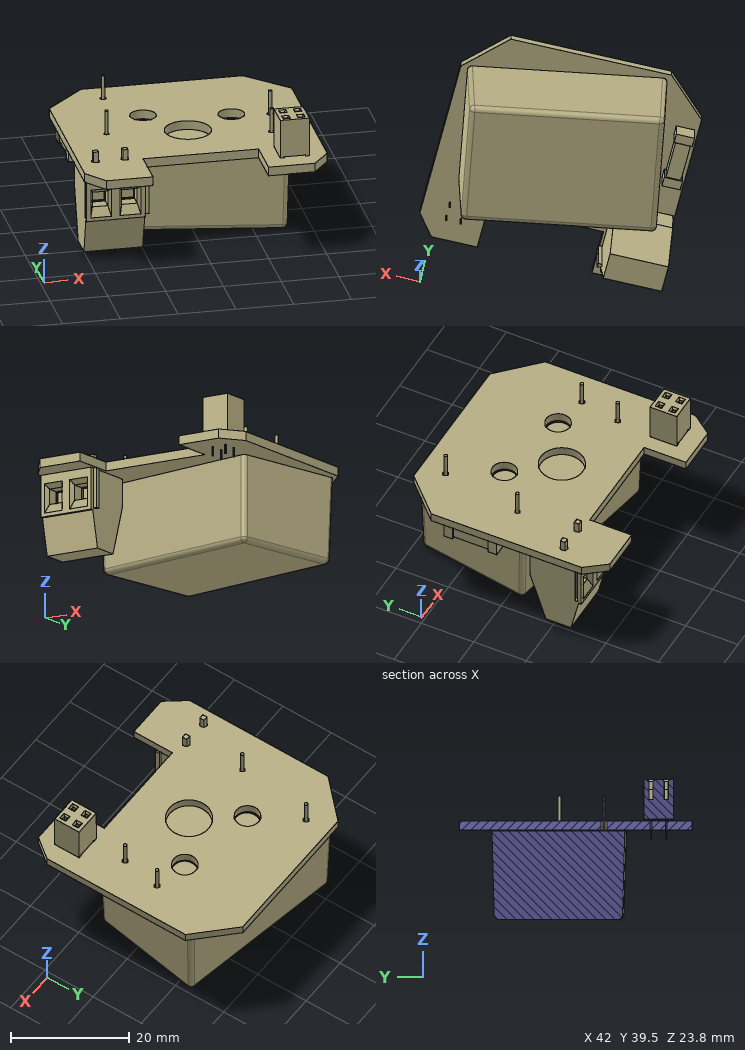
import cadquery as cq
import math


BOARD_WIDTH = 42
BOARD_THICKNESS = 1.6
BOARD_FRONT_Y = -18.5
BOARD_BACK_Y = 21
BACK_CHAMFER = 6.97
FRONT_CHAMFER_X = 2.95
FRONT_CHAMFER_Y = 3.85
NOTCH_WIDTH = 20.0
NOTCH_DEPTH = 8
LARGE_OPENING_DIAMETER = 8
SMALL_OPENING_DIAMETER = 4.5
SMALL_OPENING_CENTRES = [(-6.1, 7.8), (8.65, 5.2)]

MOUNTING_GAP = 0.1

MODULE_X = 1.3
MODULE_Y = 6.43
MODULE_TURN = -10
MODULE_LENGTH = 33.85
MODULE_WIDTH = 22.2
MODULE_BOTTOM = -15.15
MODULE_TOP = -MOUNTING_GAP
MODULE_DRAFT = 1.5
MODULE_CORNER_RADIUS = 0.8
MODULE_BOTTOM_RADIUS = 0.92
RECESS_DIAMETER = SMALL_OPENING_DIAMETER
RECESS_DEPTH = 0.25
RECESS_SPACING = 14.85
MODULE_PIN_DIAMETER = 0.6
MODULE_PIN_TOP = 5.85
MODULE_PIN_X = 14.0
MODULE_PIN_Y = 7.65
MODULE_PIN_HOLE_DIAMETER = 1.0
SMALL_PIN_HOLE_DIAMETER = 0.9

TERMINAL_X = -15.55
TERMINAL_WIDTH = 10.2
TERMINAL_TOP = -MOUNTING_GAP
TERMINAL_BOTTOM = -13.8
TERMINAL_BACK_Y = -4.6
TERMINAL_FACE_Y = -14.35
TERMINAL_LEDGE_Z = -7.45
TERMINAL_LEDGE_DEPTH = 0.5
TERMINAL_BACK_BEND_Z = -4.8
TERMINAL_FOOT_BACK_Y = -7.6
TERMINAL_FOOT_FRONT_Y = -12.4
WIRE_PITCH = 5.1
WIRE_MOUTH_WIDTH = 3.55
WIRE_MOUTH_TOP = -1.7
WIRE_MOUTH_BOTTOM = -6.8
WIRE_HOLE_WIDTH = 2.7
WIRE_HOLE_Z = -3.82
WIRE_FUNNEL_DEPTH = 0.9
WIRE_HOLE_DEPTH = 2.95
WIRE_STOP_WIDTH = 2.45
WIRE_STOP_DEPTH = 3.35
RIB_Y = -13.4
RIB_NECK = 0.4
RIB_HEAD = 0.85
RIB_PROJECTION = 0.7
RIB_BOTTOM = -7.1
TERMINAL_PIN_Y = -9.75
TERMINAL_PIN_SIDE = 0.9
TERMINAL_PIN_TOP = 3.4
TERMINAL_PIN_HOLE_DIAMETER = 1.3

HEADER_X = 15.25
HEADER_Y = -12.75
HEADER_SIDE = 5.1
HEADER_BOTTOM = BOARD_THICKNESS + MOUNTING_GAP
HEADER_TOP = 8.6
HEADER_CHANNEL_WIDTH = 3.65
HEADER_CHANNEL_HEIGHT = 0.15
SOCKET_PITCH = 2.55
SOCKET_MOUTH = 1.2
SOCKET_HOLE = 0.65
SOCKET_FUNNEL_DEPTH = 0.35
SOCKET_HOLE_DEPTH = 1.7
CONTACT_SLIT_WIDTH = 0.2
CONTACT_SLIT_DEPTH = 3.35
HEADER_PIN_SIDE = 0.2
HEADER_PIN_BOTTOM = -1.5

FUSE_LEFT_X = -20.3
FUSE_TOP = -MOUNTING_GAP
FUSE_BACK_Y = 11.95
FUSE_LENGTH = 10.05
FUSE_CAP_SIDE = 3.2
FUSE_CAP_LENGTH = 1.65
FUSE_BAR_SIDE = 2.6


def box(x_range, y_range, z_range):
    """Axis-aligned box between the given limits."""
    sizes = [high - low for low, high in (x_range, y_range, z_range)]
    corner = (x_range[0], y_range[0], z_range[0])
    return cq.Workplane("XY").box(*sizes, centered=False).translate(corner)


def square_bar(centre, side, bottom, top):
    """Upright square bar."""
    bar = cq.Workplane("XY", origin=(*centre, bottom)).rect(side, side)
    return bar.extrude(top - bottom)


def round_bar(centre, diameter, bottom, top):
    """Upright cylinder."""
    return cq.Workplane("XY", origin=(*centre, bottom)).circle(diameter / 2).extrude(top - bottom)


def module_to_board(x, y):
    """Point given along the module's own axes, turned and moved to its place on the board."""
    turn = math.radians(MODULE_TURN)
    board_x = MODULE_X + x * math.cos(turn) - y * math.sin(turn)
    board_y = MODULE_Y + x * math.sin(turn) + y * math.cos(turn)
    return board_x, board_y


narrow_pin = module_to_board(-MODULE_PIN_X, -MODULE_PIN_Y)
wide_pins = [
    module_to_board(-MODULE_PIN_X, MODULE_PIN_Y),
    module_to_board(MODULE_PIN_X, 0),
    module_to_board(MODULE_PIN_X, -MODULE_PIN_Y),
]
terminal_xs = [TERMINAL_X + side * WIRE_PITCH / 2 for side in (-1, 1)]
socket_centres = [
    (HEADER_X + i * SOCKET_PITCH / 2, HEADER_Y + j * SOCKET_PITCH / 2)
    for i in (-1, 1)
    for j in (-1, 1)
]


def make_board():
    half = BOARD_WIDTH / 2
    notch = NOTCH_WIDTH / 2
    notch_y = BOARD_FRONT_Y + NOTCH_DEPTH
    right_side = [
        (notch, notch_y),
        (notch, BOARD_FRONT_Y),
        (half - FRONT_CHAMFER_X, BOARD_FRONT_Y),
        (half, BOARD_FRONT_Y + FRONT_CHAMFER_Y),
        (half, BOARD_BACK_Y - BACK_CHAMFER),
        (half - BACK_CHAMFER, BOARD_BACK_Y),
    ]
    left_side = [(-x, y) for x, y in reversed(right_side)]
    board = cq.Workplane("XY").polyline(right_side + left_side).close().extrude(BOARD_THICKNESS)

    holes = [((0, 0), LARGE_OPENING_DIAMETER), (narrow_pin, SMALL_PIN_HOLE_DIAMETER)]
    holes += [(centre, SMALL_OPENING_DIAMETER) for centre in SMALL_OPENING_CENTRES]
    holes += [(centre, MODULE_PIN_HOLE_DIAMETER) for centre in wide_pins]
    holes += [((x, TERMINAL_PIN_Y), TERMINAL_PIN_HOLE_DIAMETER) for x in terminal_xs]
    for centre, diameter in holes:
        board = board.cut(round_bar(centre, diameter, 0, BOARD_THICKNESS))
    for centre in socket_centres:
        board = board.cut(square_bar(centre, HEADER_PIN_SIDE, 0, BOARD_THICKNESS))
    return board


def make_module():
    module = cq.Workplane("XY", origin=(0, 0, MODULE_TOP)).rect(MODULE_LENGTH, MODULE_WIDTH)
    module = module.extrude(MODULE_BOTTOM - MODULE_TOP, taper=MODULE_DRAFT)
    module = module.edges("not(#Z)").fillet(MODULE_CORNER_RADIUS)
    module = module.faces("<Z").edges().fillet(MODULE_BOTTOM_RADIUS)
    for side in (-1, 1):
        centre = (side * RECESS_SPACING / 2, 0)
        module = module.cut(round_bar(centre, RECESS_DIAMETER, MODULE_TOP - RECESS_DEPTH, MODULE_TOP))
    module = module.rotate((0, 0, 0), (0, 0, 1), MODULE_TURN)
    return module.translate((MODULE_X, MODULE_Y, 0))


def make_module_pin(centre):
    return round_bar(centre, MODULE_PIN_DIAMETER, MODULE_TOP, MODULE_PIN_TOP)


def wire_entry(x):
    """Square wire hole in the front of the terminal block, flared at its mouth and stepped near its end."""
    mouth_height = WIRE_MOUTH_TOP - WIRE_MOUTH_BOTTOM
    mouth_middle = (WIRE_MOUTH_TOP + WIRE_MOUTH_BOTTOM) / 2
    funnel = (
        cq.Workplane("XZ", origin=(x, TERMINAL_FACE_Y, mouth_middle))
        .rect(WIRE_MOUTH_WIDTH, mouth_height)
        .workplane(offset=-WIRE_FUNNEL_DEPTH)
        .center(0, WIRE_HOLE_Z - mouth_middle)
        .rect(WIRE_HOLE_WIDTH, WIRE_HOLE_WIDTH)
        .loft(ruled=True)
    )
    hole_plane = cq.Workplane("XZ", origin=(x, TERMINAL_FACE_Y + WIRE_FUNNEL_DEPTH, WIRE_HOLE_Z))
    hole = hole_plane.rect(WIRE_HOLE_WIDTH, WIRE_HOLE_WIDTH).extrude(WIRE_FUNNEL_DEPTH - WIRE_HOLE_DEPTH)
    stop = hole_plane.rect(WIRE_STOP_WIDTH, WIRE_STOP_WIDTH).extrude(WIRE_FUNNEL_DEPTH - WIRE_STOP_DEPTH)
    return funnel.union(hole).union(stop)


def dovetail(x):
    """Upright dovetail bar that widens towards +X, starting at the given X."""
    outline = [
        (x, RIB_Y - RIB_NECK / 2),
        (x + RIB_PROJECTION, RIB_Y - RIB_HEAD / 2),
        (x + RIB_PROJECTION, RIB_Y + RIB_HEAD / 2),
        (x, RIB_Y + RIB_NECK / 2),
    ]
    base = cq.Workplane("XY", origin=(0, 0, TERMINAL_TOP)).polyline(outline).close()
    return base.extrude(RIB_BOTTOM - TERMINAL_TOP)


def make_terminal():
    left_x = TERMINAL_X - TERMINAL_WIDTH / 2
    right_x = TERMINAL_X + TERMINAL_WIDTH / 2
    profile = [
        (TERMINAL_BACK_Y, TERMINAL_TOP),
        (TERMINAL_BACK_Y, TERMINAL_BACK_BEND_Z),
        (TERMINAL_FOOT_BACK_Y, TERMINAL_BOTTOM),
        (TERMINAL_FOOT_FRONT_Y, TERMINAL_BOTTOM),
        (TERMINAL_FACE_Y + TERMINAL_LEDGE_DEPTH, TERMINAL_LEDGE_Z),
        (TERMINAL_FACE_Y, TERMINAL_LEDGE_Z),
        (TERMINAL_FACE_Y, TERMINAL_TOP),
    ]
    terminal = cq.Workplane("YZ", origin=(left_x, 0, 0)).polyline(profile).close()
    terminal = terminal.extrude(TERMINAL_WIDTH)
    terminal = terminal.cut(dovetail(left_x)).union(dovetail(right_x))
    for x in terminal_xs:
        terminal = terminal.cut(wire_entry(x))
        pin = square_bar((x, TERMINAL_PIN_Y), TERMINAL_PIN_SIDE, TERMINAL_TOP, TERMINAL_PIN_TOP)
        terminal = terminal.union(pin)
    return terminal


def socket(centre):
    """Square hole with a flared mouth in the top of the header and a contact slit in its floor."""
    funnel = (
        cq.Workplane("XY", origin=(*centre, HEADER_TOP))
        .rect(SOCKET_MOUTH, SOCKET_MOUTH)
        .workplane(offset=-SOCKET_FUNNEL_DEPTH)
        .rect(SOCKET_HOLE, SOCKET_HOLE)
        .loft(ruled=True)
    )
    hole_bottom = HEADER_TOP - SOCKET_HOLE_DEPTH
    hole = square_bar(centre, SOCKET_HOLE, hole_bottom, HEADER_TOP - SOCKET_FUNNEL_DEPTH)
    slit = box(
        (centre[0] - CONTACT_SLIT_WIDTH / 2, centre[0] + CONTACT_SLIT_WIDTH / 2),
        (centre[1] - SOCKET_HOLE / 2, centre[1] + SOCKET_HOLE / 2),
        (HEADER_TOP - CONTACT_SLIT_DEPTH, hole_bottom),
    )
    return funnel.union(hole).union(slit)


def make_header():
    header = square_bar((HEADER_X, HEADER_Y), HEADER_SIDE, HEADER_BOTTOM, HEADER_TOP)
    channel_roof = HEADER_BOTTOM + HEADER_CHANNEL_HEIGHT
    channel = box(
        (HEADER_X - HEADER_CHANNEL_WIDTH / 2, HEADER_X + HEADER_CHANNEL_WIDTH / 2),
        (HEADER_Y - HEADER_SIDE / 2, HEADER_Y + HEADER_SIDE / 2),
        (HEADER_BOTTOM, channel_roof),
    )
    header = header.cut(channel)
    for centre in socket_centres:
        header = header.cut(socket(centre))
        header = header.union(square_bar(centre, HEADER_PIN_SIDE, HEADER_PIN_BOTTOM, channel_roof))
    return header


def make_fuse():
    right_x = FUSE_LEFT_X + FUSE_CAP_SIDE
    front_y = FUSE_BACK_Y - FUSE_LENGTH
    inset = (FUSE_CAP_SIDE - FUSE_BAR_SIDE) / 2
    fuse = box(
        (FUSE_LEFT_X + inset, right_x - inset),
        (front_y, FUSE_BACK_Y),
        (FUSE_TOP - FUSE_CAP_SIDE + inset, FUSE_TOP - inset),
    )
    for cap_y in (front_y, FUSE_BACK_Y - FUSE_CAP_LENGTH):
        cap = box(
            (FUSE_LEFT_X, right_x),
            (cap_y, cap_y + FUSE_CAP_LENGTH),
            (FUSE_TOP - FUSE_CAP_SIDE, FUSE_TOP),
        )
        fuse = fuse.union(cap)
    return fuse


board = make_board()
module = make_module()
module_pins = [make_module_pin(centre) for centre in [narrow_pin, *wide_pins]]
terminal = make_terminal()
header = make_header()
fuse = make_fuse()

result = cq.Compound.makeCompound(
    [
        board.val(),
        module.val(),
        *[pin.val() for pin in module_pins],
        terminal.val(),
        header.val(),
        fuse.val(),
    ]
)